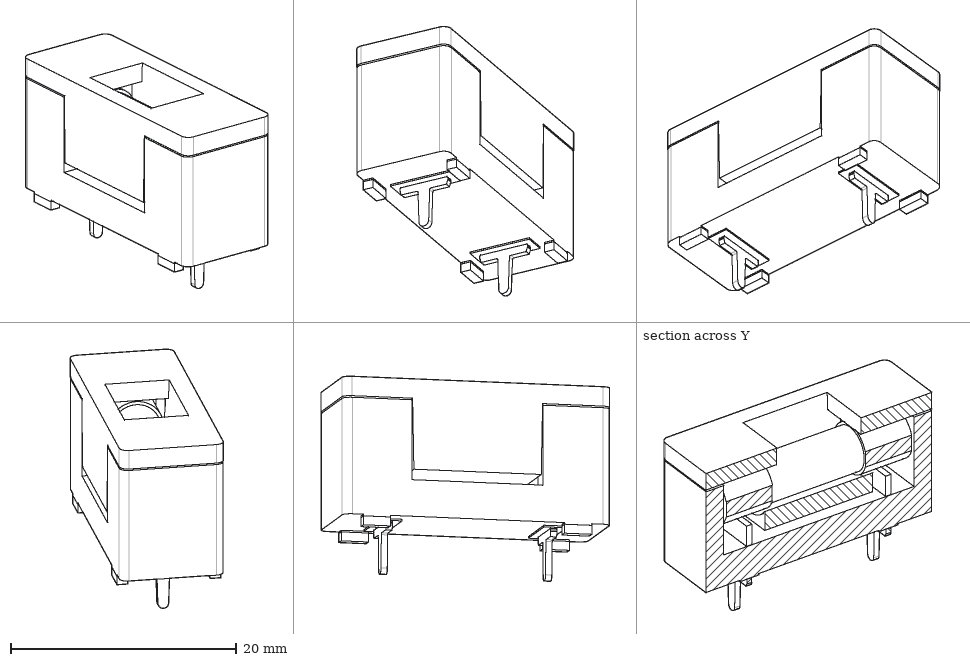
import cadquery as cq
import math

cover_length = 24.4
base_length = 24.35
width = 9.4
corner_radius = 0.75

base_height = 10.5
floor_height = 3.3
cutout_half_length = 5.98
pocket_half_length = 10.25
pocket_width = 5.65

pad_height = 0.15
terminal_pad_length = 2.05
terminal_pad_width = 5.95

foot_length = 2.5
foot_width = 0.98
foot_height = 0.8
foot_center_x = 9.17
foot_center_y = (width - foot_width) / 2

cover_gap = 0.15
lid_thickness = 1.75
lid_underside = base_height + cover_gap
lid_top = lid_underside + lid_thickness
carrier_depth = 6.4
carrier_bottom = lid_underside - carrier_depth
carrier_half_length_top = 5.93
carrier_half_length_bottom = 5.8
window_length = 9.08
channel_half_width_top = 2.9
channel_half_width_bottom = 2.68
trough_radius = 2.85

fuse_axis_height = 7.88
fuse_length = 20.0
tube_radius = 2.2
cap_radius = 2.5
cap_length = 5.0

terminal_pitch = 15.0
terminal_thickness = 0.59
blade_half_width = 2.35
shoulder_half_width = 2.42
shoulder_bevel_height = 0.15
shoulder_straight_height = 0.15
shoulder_taper_height = 0.45
shoulder_bottom_half_width = 2.27
stem_half_width = 0.59
stem_root_fillet = 0.15
tip_radius = 0.5
pin_length = 4.35
terminal_centers_x = (-terminal_pitch / 2, terminal_pitch / 2)


def rounded_block(length, bottom, height):
    """Block with the holder outline and rounded vertical edges."""
    block = cq.Workplane("XY").workplane(offset=bottom).rect(length, width).extrude(height)
    return block.edges("|Z").fillet(corner_radius)


def box(size_x, size_y, bottom, top, center_x=0.0, center_y=0.0):
    """Upright box between two heights."""
    plane = cq.Workplane("XY").workplane(offset=bottom).center(center_x, center_y)
    return plane.rect(size_x, size_y).extrude(top - bottom)


def foot_centers():
    """Centers of the four feet."""
    return [(x, y) for x in (-foot_center_x, foot_center_x) for y in (-foot_center_y, foot_center_y)]


def make_base():
    """Open tray with a wide side cutout, pads underneath and slots for the terminals."""
    base = rounded_block(base_length, 0.0, base_height)
    base = base.cut(box(2 * cutout_half_length, width, floor_height, base_height))
    base = base.cut(box(2 * pocket_half_length, pocket_width, floor_height, base_height))
    for x in terminal_centers_x:
        base = base.union(box(terminal_pad_length, terminal_pad_width, -pad_height, 0.0, x))
    for x, y in foot_centers():
        base = base.union(box(foot_length, foot_width, -pad_height, 0.0, x, y))
    for x in terminal_centers_x:
        base = base.cut(box(terminal_thickness, 2 * blade_half_width, -pad_height, floor_height, x))
    return base


def make_foot(x, y):
    """Rectangular foot on one of the corner pads."""
    return box(foot_length, foot_width, -pad_height - foot_height, -pad_height, x, y)


def channel(channel_length, top):
    """Tapered channel with a round bottom that holds the fuse, running along X."""
    taper_start = fuse_axis_height - math.sqrt(trough_radius**2 - channel_half_width_bottom**2)
    taper = (channel_half_width_top - channel_half_width_bottom) / (lid_top - taper_start)
    half_width = channel_half_width_bottom + taper * (top - taper_start)
    profile = (
        cq.Workplane("YZ")
        .moveTo(-half_width, top)
        .lineTo(-channel_half_width_bottom, taper_start)
        .threePointArc((0, fuse_axis_height - trough_radius), (channel_half_width_bottom, taper_start))
        .lineTo(half_width, top)
        .close()
    )
    return profile.extrude(channel_length / 2, both=True)


def make_cover():
    """Lid with a window and a tapered fuse carrier that drops into the base cutout."""
    carrier_outline = [
        (-carrier_half_length_top, lid_underside),
        (-carrier_half_length_bottom, carrier_bottom),
        (carrier_half_length_bottom, carrier_bottom),
        (carrier_half_length_top, lid_underside),
    ]
    carrier = cq.Workplane("XZ").polyline(carrier_outline).close().extrude(width / 2, both=True)
    cover = rounded_block(cover_length, lid_underside, lid_thickness).union(carrier)
    cover = cover.cut(channel(2 * carrier_half_length_top, lid_underside))
    return cover.cut(channel(window_length, lid_top))


def make_fuse():
    """Cylindrical fuse with a larger cap at each end, turned about an axis along X."""
    end = fuse_length / 2
    cap_face = end - cap_length
    radial_profile = [
        (-end, 0),
        (-end, cap_radius),
        (-cap_face, cap_radius),
        (-cap_face, tube_radius),
        (cap_face, tube_radius),
        (cap_face, cap_radius),
        (end, cap_radius),
        (end, 0),
    ]
    plane = cq.Workplane("XZ", origin=(0, 0, fuse_axis_height))
    return plane.polyline(radial_profile).close().revolve(360, (0, 0), (1, 0))


def make_terminal(x):
    """Flat blade from under the fuse cap down to a shoulder and a tapered pin with a round tip."""
    blade_top = fuse_axis_height - cap_radius
    shoulder_top = -pad_height
    bevel_end = shoulder_top - shoulder_bevel_height
    taper_start = bevel_end - shoulder_straight_height
    shoulder_bottom = taper_start - shoulder_taper_height
    tip_bottom = shoulder_top - pin_length
    tip_center = tip_bottom + tip_radius
    half_outline = (
        cq.Workplane("YZ", origin=(x, 0, 0))
        .moveTo(0, blade_top)
        .lineTo(blade_half_width, blade_top)
        .lineTo(blade_half_width, shoulder_top)
        .lineTo(shoulder_half_width, bevel_end)
        .lineTo(shoulder_half_width, taper_start)
        .lineTo(shoulder_bottom_half_width, shoulder_bottom)
        .lineTo(stem_half_width + stem_root_fillet, shoulder_bottom)
        .radiusArc((stem_half_width, shoulder_bottom - stem_root_fillet), -stem_root_fillet)
        .lineTo(tip_radius, tip_center)
        .radiusArc((0, tip_bottom), tip_radius)
    )
    return half_outline.mirrorY().extrude(terminal_thickness / 2, both=True)


base = make_base()
feet = [make_foot(x, y) for x, y in foot_centers()]
cover = make_cover()
fuse = make_fuse()
terminals = [make_terminal(x) for x in terminal_centers_x]

result = cq.Compound.makeCompound(
    [
        base.val(),
        *[foot.val() for foot in feet],
        cover.val(),
        fuse.val(),
        *[terminal.val() for terminal in terminals],
    ]
)